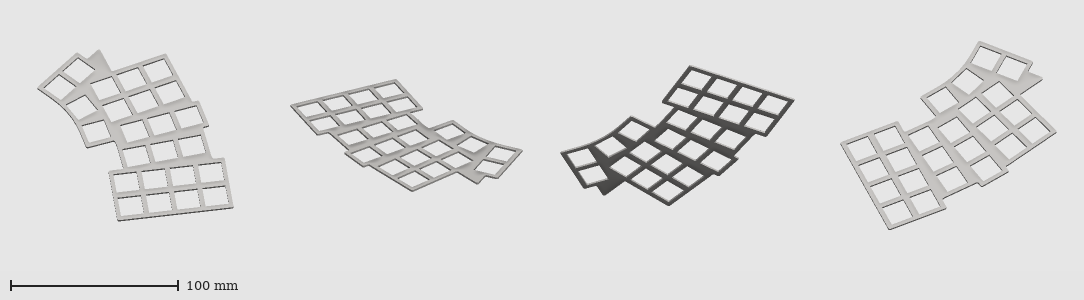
import cadquery as cq
import math

THICKNESS = 1.2
OPENING = 14.0
PITCH_ACROSS = 18.0
PITCH_ALONG = 17.0
RIM = 1.0
CORNER_RADIUS = 1.02

LEFT_BLOCK = (-31.9, 12.0, 0, 2, 3)
MIDDLE_COLUMN = (-2.7, 15.1, -5, 1, 3)
RING_COLUMN = (16.6, 8.4, -10, 1, 3)
RIGHT_BLOCK = (44.7, 0.7, -15, 2, 4)
OUTER_THUMB = (-56.0, -22.0, 25, 1, 2)
CENTRE_THUMB = (-33.2, -23.8, 10, 1, 1)
INNER_THUMB = (-13.1, -22.9, -5, 1, 1)
BLOCKS = (
    LEFT_BLOCK, MIDDLE_COLUMN, RING_COLUMN, RIGHT_BLOCK,
    OUTER_THUMB, CENTRE_THUMB, INNER_THUMB,
)

LEFT_TO_MIDDLE_STEP = 4.2
MIDDLE_TO_RING_STEP = 4.2
RING_TO_RIGHT_STEP = 7.0
RIGHT_TO_RING_STEP = 9.2
INNER_THUMB_STEP = 1.5
NOTCH_INSET = 8.1
NOTCH_LENGTH = 11.0
THUMB_ARCH_RADIUS = 59.1


def place(block, across, along):
    """Turn a point in a block's own tilted frame into plate coordinates."""
    centre_x, centre_y, tilt, _, _ = block
    cosine = math.cos(math.radians(tilt))
    sine = math.sin(math.radians(tilt))
    return (
        centre_x + across * cosine - along * sine,
        centre_y + across * sine + along * cosine,
    )


def edge_point(block, side, end, inset=0.0, step=0.0):
    """Rim corner of a block (side, end = -1 or 1), moved inwards by inset across and step along."""
    _, _, _, columns, rows = block
    half_width = columns * PITCH_ACROSS / 2 + RIM
    half_length = rows * PITCH_ALONG / 2 + RIM
    return place(block, side * (half_width - inset), end * (half_length - step))


def meeting_point(first, first_tilt, second, second_tilt):
    """Crossing of two lines, each given by a point and its angle from X."""
    ux, uy = math.cos(math.radians(first_tilt)), math.sin(math.radians(first_tilt))
    vx, vy = math.cos(math.radians(second_tilt)), math.sin(math.radians(second_tilt))
    gap_x, gap_y = second[0] - first[0], second[1] - first[1]
    reach = (gap_x * vy - gap_y * vx) / (ux * vy - uy * vx)
    return (first[0] + reach * ux, first[1] + reach * uy)


def rounded_outline(corners):
    """Closed wire through (point, radius) corners; radius 0 leaves a corner sharp."""
    arcs = []
    for index, (point, radius) in enumerate(corners):
        before = cq.Vector(*corners[index - 1][0])
        after = cq.Vector(*corners[(index + 1) % len(corners)][0])
        corner = cq.Vector(*point)
        back = (before - corner).normalized()
        ahead = (after - corner).normalized()
        trim = radius / math.tan(back.getAngle(ahead) / 2)
        arcs.append((corner + back * trim, corner + ahead * trim, radius))

    outline = cq.Workplane("XY").moveTo(*arcs[0][1].toTuple()[:2])
    for start, end, radius in arcs[1:] + arcs[:1]:
        outline = outline.lineTo(start.x, start.y)
        if radius > 0:
            outline = outline.tangentArcPoint((end.x, end.y), relative=False)
    return outline.close()


def plate_body():
    """Plate outline, followed clockwise from the upper left corner of the left block."""
    wing_root = edge_point(OUTER_THUMB, -1, 1, inset=NOTCH_INSET)
    wing_tip = edge_point(OUTER_THUMB, -1, 1, inset=NOTCH_INSET, step=-NOTCH_LENGTH)
    left_top = edge_point(LEFT_BLOCK, -1, 1)
    arch_peak = meeting_point(
        edge_point(OUTER_THUMB, -1, -1), OUTER_THUMB[2],
        edge_point(INNER_THUMB, 1, -1), INNER_THUMB[2],
    )
    corners = [
        (left_top, CORNER_RADIUS),
        (edge_point(LEFT_BLOCK, 1, 1), 0),
        (edge_point(MIDDLE_COLUMN, -1, 1, step=LEFT_TO_MIDDLE_STEP), CORNER_RADIUS),
        (edge_point(MIDDLE_COLUMN, -1, 1), CORNER_RADIUS),
        (edge_point(MIDDLE_COLUMN, 1, 1), CORNER_RADIUS),
        (edge_point(MIDDLE_COLUMN, 1, 1, step=MIDDLE_TO_RING_STEP), CORNER_RADIUS),
        (edge_point(RING_COLUMN, -1, 1), 0),
        (edge_point(RING_COLUMN, 1, 1), 0),
        (edge_point(RIGHT_BLOCK, -1, 1, step=RING_TO_RIGHT_STEP), CORNER_RADIUS),
        (edge_point(RIGHT_BLOCK, -1, 1), CORNER_RADIUS),
        (edge_point(RIGHT_BLOCK, 1, 1), CORNER_RADIUS),
        (edge_point(RIGHT_BLOCK, 1, -1), CORNER_RADIUS),
        (edge_point(RIGHT_BLOCK, -1, -1), CORNER_RADIUS),
        (edge_point(RIGHT_BLOCK, -1, -1, step=RIGHT_TO_RING_STEP), CORNER_RADIUS),
        (edge_point(RING_COLUMN, -1, -1), 0),
        (edge_point(INNER_THUMB, 1, 1, step=INNER_THUMB_STEP), CORNER_RADIUS),
        (edge_point(INNER_THUMB, 1, -1), CORNER_RADIUS),
        (arch_peak, THUMB_ARCH_RADIUS),
        (edge_point(OUTER_THUMB, -1, -1), CORNER_RADIUS),
        (edge_point(OUTER_THUMB, -1, 1), CORNER_RADIUS),
        (wing_root, CORNER_RADIUS),
        (wing_tip, CORNER_RADIUS),
        ((left_top[0], wing_tip[1]), CORNER_RADIUS),
    ]
    return rounded_outline(corners).extrude(THICKNESS)


def block_openings(block):
    """Square through-cutters for every switch of one block."""
    _, _, tilt, columns, rows = block
    return (
        cq.Workplane("XY", origin=(*place(block, 0, 0), 0))
        .transformed(rotate=(0, 0, tilt))
        .rarray(PITCH_ACROSS, PITCH_ALONG, columns, rows)
        .rect(OPENING, OPENING)
        .extrude(THICKNESS)
    )


result = plate_body()
for switch_block in BLOCKS:
    result = result.cut(block_openings(switch_block))